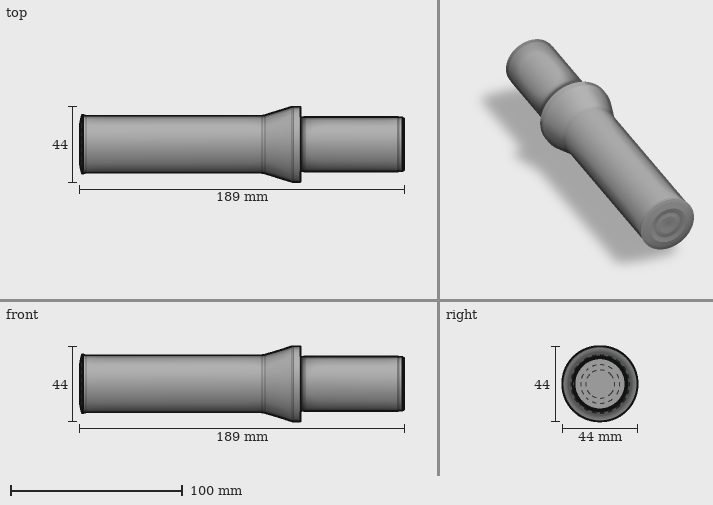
import cadquery as cq
import math

MATCH_TOLERANCE = 0.0002

total_length = 189.0

cap_thickness = 1.9
rim_diameter = 34.2
rim_start = 1.3
face_edge_radius = 15.3
face_edge_depth = 0.8
crest_radius = 11.3
valley_radius = 8.3
valley_depth = 0.8
inner_crest_radius = 5.7
inner_crest_depth = 0.4
dimple_depth = 1.0

shank_diameter = 33.5
flare_end = 3.4
cone_start = 107.0

collar_diameter = 44.0
cone_end = 124.0
collar_end = 128.7
cone_base_blend = 5.7
cone_top_blend = 2.8
collar_rear_rounding = 0.5

spigot_diameter = 32.0
reduced_diameter = 31.5
relief_width = 1.3
relief_taper = 1.1
relief_corner_radius = 0.5
end_land_start = 185.8
end_taper = 0.8
end_blend = 1.9
end_chamfer = 1.0


def revolve_about_x(profile):
    """Turn a closed (x, radius) profile a full circle about the X axis."""
    return profile.close().revolve(360, (0, 0, 0), (1, 0, 0))


def round_circle(body, x, radius, rounding):
    """Fillet the circular edge that lies at the given X and radius."""
    def is_wanted(edge):
        return (math.isclose(edge.Center().x, x, abs_tol=MATCH_TOLERANCE)
                and math.isclose(edge.radius(), radius, abs_tol=MATCH_TOLERANCE))

    return body.edges("%CIRCLE").filter(is_wanted).fillet(rounding)


def make_cap():
    rim_radius = rim_diameter / 2
    profile = cq.Workplane("XY").polyline([
        (dimple_depth, 0),
        (inner_crest_depth, inner_crest_radius),
        (valley_depth, valley_radius),
        (0, crest_radius),
        (face_edge_depth, face_edge_radius),
        (rim_start, rim_radius),
        (cap_thickness, rim_radius),
        (cap_thickness, 0),
    ])
    return revolve_about_x(profile)


def make_holder():
    shank_radius = shank_diameter / 2
    collar_radius = collar_diameter / 2
    spigot_radius = spigot_diameter / 2
    reduced_radius = reduced_diameter / 2
    relief_end = collar_end + relief_width
    rim_radius = rim_diameter / 2

    flare = cq.Workplane("XY").moveTo(cap_thickness, 0).lineTo(cap_thickness, rim_radius)
    flare_length = flare_end - cap_thickness
    flare_height = rim_radius - shank_radius
    flare_radius = (flare_length**2 + flare_height**2) / (2 * flare_height)
    flare = flare.radiusArc((flare_end, shank_radius), -flare_radius)

    profile = flare.polyline([
        (cone_start, shank_radius),
        (cone_end, collar_radius),
        (collar_end, collar_radius),
        (collar_end, reduced_radius),
        (relief_end, reduced_radius),
        (relief_end + relief_taper, spigot_radius),
        (end_land_start - end_taper, spigot_radius),
        (end_land_start, reduced_radius),
        (total_length - end_chamfer, reduced_radius),
        (total_length, reduced_radius - end_chamfer),
        (total_length, 0),
    ], includeCurrent=True)
    holder = revolve_about_x(profile)

    holder = round_circle(holder, cone_start, shank_radius, cone_base_blend)
    holder = round_circle(holder, cone_end, collar_radius, cone_top_blend)
    holder = round_circle(holder, collar_end, collar_radius, collar_rear_rounding)
    holder = round_circle(holder, collar_end, reduced_radius, relief_corner_radius)
    return round_circle(holder, end_land_start, reduced_radius, end_blend)


cap = make_cap()
holder = make_holder()

result = cq.Compound.makeCompound([cap.val(), holder.val()])